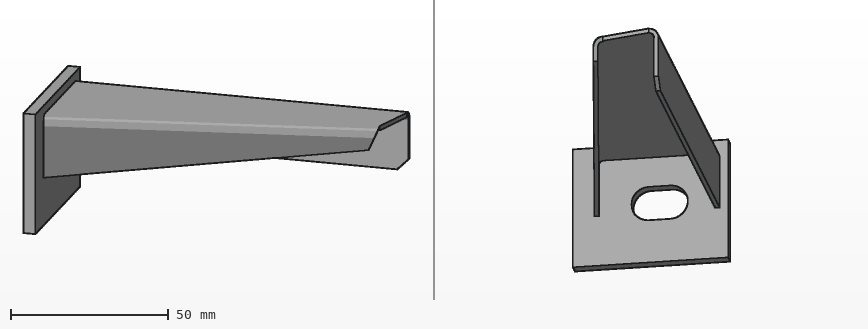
import cadquery as cq
import math

plate_thickness = 4.0
plate_width = 50.0
plate_height = 40.0
slot_length = 18.1
slot_width = 11.3
slot_offset = 3.0

total_length = 114.0
sheet_thickness = 1.5
bend_radius = 3.1
arm_top = 17.0
flange_depth = 20.0
rear_face = 22.3
flange_setback = 0.2
tip_chamfer = 3.6
taper_angle = 10.0
taper_bend_start = -14.9
tip_bend_x = 109.4
taper_root_depth = 20.3
taper_tip_depth = 7.2
taper_tip_slope = 0.45

straight_length = total_length - plate_thickness - flange_setback
rear_bend_y = rear_face - bend_radius
taper_run = tip_bend_x - plate_thickness
tip_bend_y = taper_bend_start + taper_run * math.tan(math.radians(taper_angle))
taper_length = taper_run / math.cos(math.radians(taper_angle))


def make_plate():
    """Rectangular plate with an off-centre horizontal slot."""
    plate = cq.Workplane("YZ").rect(plate_width, plate_height).extrude(plate_thickness)
    slot = (
        cq.Workplane("YZ")
        .center(slot_offset, 0)
        .slot2D(slot_length, slot_width)
        .extrude(plate_thickness)
    )
    return plate.cut(slot)


def bent_flange(depth, length):
    """Bend and flange along +X, bulging to +Y, with the bend line on the X axis."""
    inner_radius = bend_radius - sheet_thickness
    outer_diagonal = bend_radius * math.sqrt(0.5)
    inner_diagonal = inner_radius * math.sqrt(0.5)
    return (
        cq.Workplane("YZ")
        .moveTo(0, 0)
        .threePointArc((outer_diagonal, outer_diagonal - bend_radius), (bend_radius, -bend_radius))
        .lineTo(bend_radius, -depth)
        .lineTo(inner_radius, -depth)
        .lineTo(inner_radius, -bend_radius)
        .threePointArc((inner_diagonal, inner_diagonal - bend_radius), (0, -sheet_thickness))
        .close()
        .extrude(length)
    )


def make_web():
    """Flat top of the arm, between the two bend lines, with a slanted tip."""
    return (
        cq.Workplane("XY", origin=(0, 0, arm_top))
        .moveTo(plate_thickness, taper_bend_start)
        .lineTo(tip_bend_x, tip_bend_y)
        .lineTo(total_length, rear_bend_y)
        .lineTo(plate_thickness, rear_bend_y)
        .close()
        .extrude(-sheet_thickness)
    )


def make_straight_flange():
    """Rear flange of constant depth with a chamfered lower tip corner."""
    flange = bent_flange(flange_depth, straight_length)
    corner = (
        cq.Workplane("XZ")
        .moveTo(straight_length, -flange_depth)
        .lineTo(straight_length - tip_chamfer, -flange_depth)
        .lineTo(straight_length, tip_chamfer - flange_depth)
        .close()
        .extrude(-bend_radius)
    )
    return flange.cut(corner).translate((plate_thickness, rear_bend_y, arm_top))


def make_tapered_flange():
    """Front flange whose depth shrinks towards a slanted tip; its root is square to the bend line."""
    blank = bent_flange(taper_root_depth, taper_length)
    side_shape = (
        cq.Workplane("XZ")
        .lineTo(taper_length, 0)
        .lineTo(taper_length - taper_tip_slope * taper_tip_depth, -taper_tip_depth)
        .lineTo(0, -taper_root_depth)
        .close()
        .extrude(-bend_radius)
    )
    return (
        blank.intersect(side_shape)
        .mirror("XZ")
        .rotate((0, 0, 0), (0, 0, 1), taper_angle)
        .translate((plate_thickness, taper_bend_start, arm_top))
    )


def make_arm():
    """One folded sheet: web, straight rear flange and tapered front flange."""
    return make_web().union(make_straight_flange()).union(make_tapered_flange())


plate = make_plate()
arm = make_arm()

result = cq.Compound.makeCompound([plate.val(), *arm.vals()])